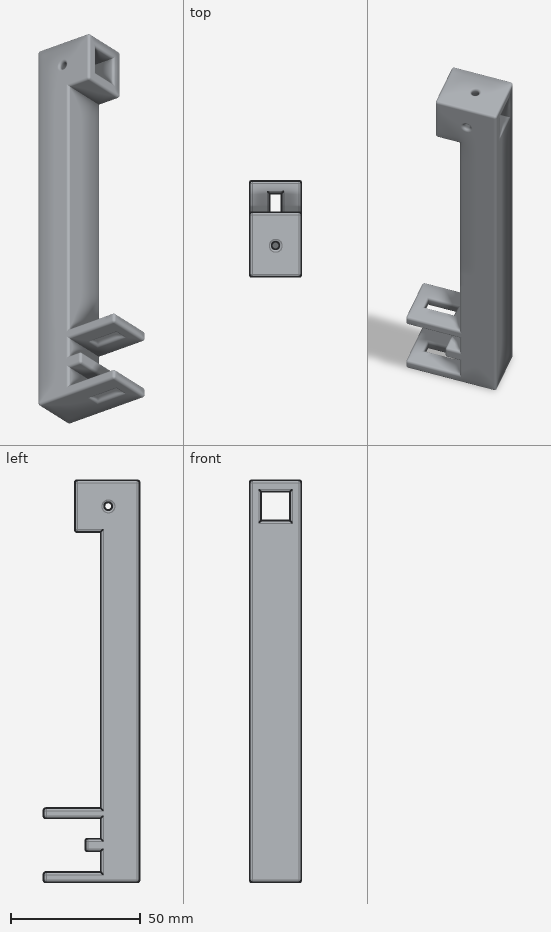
import cadquery as cq

width = 20.0
height = 155.0
edge_radius = 1.0
column_depth = 15.0

selection_margin = 0.2

head_depth = 25.0
head_height = width
window_size = 11.0
screw_hole_diameter = 3.0
screw_hole_y = 12.1

arm_reach = 37.0
arm_thickness = 4.0
upper_arm_bottom = 24.6
stub_reach = 21.0
stub_bottom = 12.0
stub_thickness = 5.0
slot_width = 4.5
slot_margin = 5.0

head_bottom = height - head_height
head_center_z = height - head_height / 2
slot_length = arm_reach - column_depth - 2 * slot_margin
slot_center_y = (column_depth + arm_reach) / 2

projections = [
    (arm_reach, 0, arm_thickness),
    (stub_reach, stub_bottom, stub_bottom + stub_thickness),
    (arm_reach, upper_arm_bottom, upper_arm_bottom + arm_thickness),
    (head_depth, head_bottom, height),
]


def make_body():
    """Stepped side profile extruded across the width, all outside edges rounded."""
    profile = [(0, 0)]
    for reach, bottom, top in projections:
        profile += [
            (column_depth, bottom),
            (reach, bottom),
            (reach, top),
            (column_depth, top),
        ]
    profile.pop(1)
    profile[-1] = (0, height)
    body = cq.Workplane("YZ").polyline(profile).close().extrude(width / 2, both=True)

    column_back = cq.selectors.BoxSelector(
        (-width, column_depth - edge_radius, edge_radius),
        (width, column_depth + edge_radius, height - edge_radius),
    )
    crosswise = cq.selectors.ParallelDirSelector(cq.Vector(1, 0, 0))
    outside_corners = crosswise - column_back
    side_edges = body.faces("<X or >X").edges()
    return side_edges.add(body.edges(outside_corners)).fillet(edge_radius)


def cut_opening(body, cutter, axis):
    """Cut a straight opening and round the rim wherever the cutter's ends reach a surface."""
    body = body.cut(cutter)
    for end_face in cutter.faces(f"<{axis} or >{axis}").vals():
        box = end_face.BoundingBox()
        margin = cq.Vector(selection_margin, selection_margin, selection_margin)
        low_corner = cq.Vector(box.xmin, box.ymin, box.zmin) - margin
        high_corner = cq.Vector(box.xmax, box.ymax, box.zmax) + margin
        rim = body.edges(cq.selectors.BoxSelector(low_corner, high_corner, boundingbox=True))
        if rim.size() > 0:
            body = rim.fillet(edge_radius)
    return body


def cut_window(body):
    """Square window from front to back through the head."""
    window = cq.Workplane("XY").box(window_size, head_depth, window_size)
    return cut_opening(body, window.translate((0, head_depth / 2, head_center_z)), "Y")


def cut_screw_holes(body):
    """One hole across both sides of the head, and one from the top down into the window."""
    center = (0, screw_hole_y, head_center_z)
    radius = screw_hole_diameter / 2
    side_holes = cq.Workplane("YZ", origin=center).circle(radius).extrude(width / 2, both=True)
    top_hole = cq.Workplane("XY", origin=center).circle(radius).extrude(head_height / 2)
    return cut_opening(cut_opening(body, side_holes, "X"), top_hole, "Z")


def cut_arm_slot(body, arm_bottom):
    """Rectangular slot down through one arm."""
    slot = cq.Workplane("XY").box(slot_width, slot_length, arm_thickness)
    return cut_opening(body, slot.translate((0, slot_center_y, arm_bottom + arm_thickness / 2)), "Z")


result = cut_screw_holes(cut_window(make_body()))
for arm_bottom in (0, upper_arm_bottom):
    result = cut_arm_slot(result, arm_bottom)